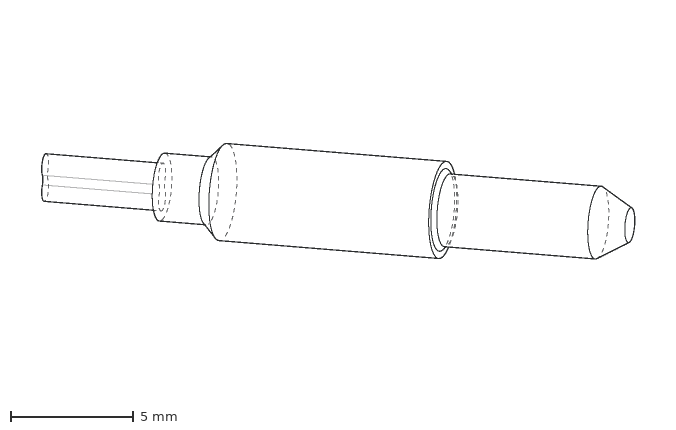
import cadquery as cq
import math

total_length = 25.0
wire_length = 5.0
sleeve_length = 2.0
body_end = 17.0
tip_length = 1.35

sleeve_diameter = 2.8
body_diameter = 4.0
pin_diameter = 3.0

shoulder_chamfer = (body_diameter - sleeve_diameter) / 2
neck_chamfer = 0.2
tip_half_angle = 30.0

core_diameter = 1.0
core_spacing = 1.0
waist_fillet_radius = 0.35


def make_turned_body():
    """Revolve sleeve, body and tapered pin about the X axis."""
    sleeve_radius = sleeve_diameter / 2
    body_radius = body_diameter / 2
    pin_radius = pin_diameter / 2
    tip_radius = pin_radius - tip_length * math.tan(math.radians(tip_half_angle))
    body_start = wire_length + sleeve_length
    profile = [
        (wire_length, 0),
        (wire_length, sleeve_radius),
        (body_start, sleeve_radius),
        (body_start + shoulder_chamfer, body_radius),
        (body_end, body_radius),
        (body_end, pin_radius + neck_chamfer),
        (body_end + neck_chamfer, pin_radius),
        (total_length - tip_length, pin_radius),
        (total_length, tip_radius),
        (total_length, 0),
    ]
    return cq.Workplane("XY").polyline(profile).close().revolve(360, (0, 0, 0), (1, 0, 0))


def make_wire():
    """Extrude the outline of two cores, stacked along Z, with tangent fillets at the waist."""
    core_radius = core_diameter / 2
    core_offset = core_spacing / 2
    wire_top = core_offset + core_radius

    center_distance = core_radius + waist_fillet_radius
    fillet_center_y = math.sqrt(center_distance**2 - core_offset**2)
    waist_half_width = fillet_center_y - waist_fillet_radius

    tangent_y = fillet_center_y * core_radius / center_distance
    tangent_z = core_offset * waist_fillet_radius / center_distance

    return (
        cq.Workplane("YZ")
        .moveTo(tangent_y, tangent_z)
        .threePointArc((0, wire_top), (-tangent_y, tangent_z))
        .threePointArc((-waist_half_width, 0), (-tangent_y, -tangent_z))
        .threePointArc((0, -wire_top), (tangent_y, -tangent_z))
        .threePointArc((waist_half_width, 0), (tangent_y, tangent_z))
        .close()
        .extrude(wire_length)
    )


result = make_turned_body().union(make_wire())